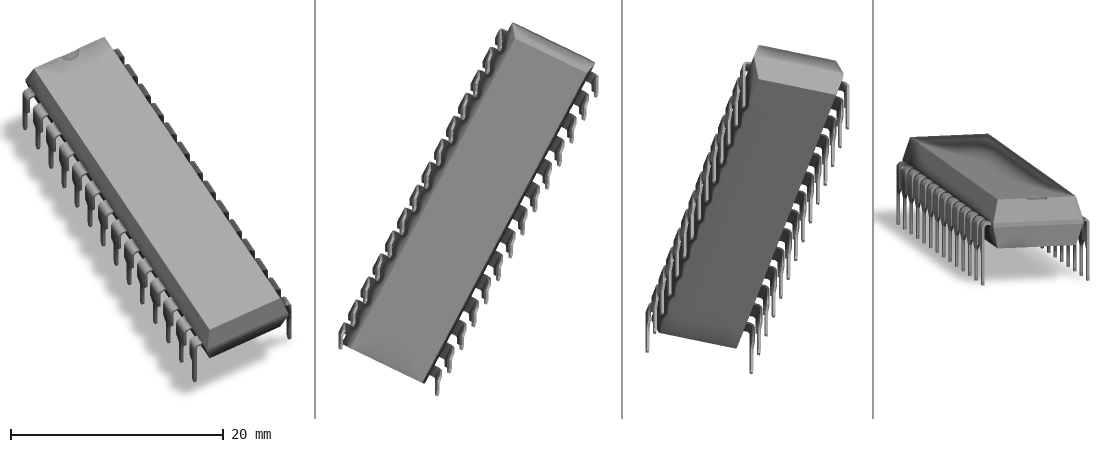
import cadquery as cq
import math

body_length = 35.4
body_width = 8.7
lead_span = 10.4
total_height = 8.2

half_height = 2.12
band_height = 0.42
draft_angle = 15.0
body_top = total_height
band_top = body_top - half_height
band_bottom = band_top - band_height
body_bottom = band_bottom - half_height

notch_radius = 0.95
notch_center_inset = 0.53
notch_depth = 0.18

leads_per_side = 14
lead_row_length = 33.03
lead_pitch = lead_row_length / (leads_per_side - 1)
lead_thickness = 0.25
bend_radius = 0.53
shoulder_width = 1.52
pin_width = 0.5
shoulder_drop = 0.53
tip_width = 0.3
tip_height = 0.4
embed_depth = 0.7
lead_top = (band_top + band_bottom + lead_thickness) / 2
lead_outer = lead_span / 2
lead_inner_end = body_width / 2 - embed_depth


def make_body():
    band = (
        cq.Workplane("XY", origin=(0, 0, band_bottom))
        .rect(body_length, body_width)
        .extrude(band_height)
    )
    upper = band.faces(">Z").workplane().rect(body_length, body_width).extrude(
        half_height, combine=False, taper=draft_angle
    )
    lower = band.faces("<Z").workplane().rect(body_length, body_width).extrude(
        half_height, combine=False, taper=draft_angle
    )
    return band.union(upper).union(lower)


def make_notch():
    center_x = -body_length / 2 + notch_center_inset
    return (
        cq.Workplane("XY", origin=(center_x, 0, body_top - notch_depth))
        .circle(notch_radius)
        .extrude(notch_depth)
    )


def bent_strip():
    """Lead cross-section in the YZ plane, on the -Y side, extruded over one shoulder width."""
    inner_radius = bend_radius - lead_thickness
    bend_y = -lead_outer + bend_radius
    bend_z = lead_top - bend_radius
    diagonal = math.sqrt(0.5)
    return (
        cq.Workplane("YZ", origin=(-shoulder_width / 2, 0, 0))
        .moveTo(-lead_inner_end, lead_top)
        .lineTo(bend_y, lead_top)
        .threePointArc(
            (bend_y - bend_radius * diagonal, bend_z + bend_radius * diagonal),
            (-lead_outer, bend_z),
        )
        .lineTo(-lead_outer, 0)
        .lineTo(-lead_outer + lead_thickness, 0)
        .lineTo(-lead_outer + lead_thickness, bend_z)
        .threePointArc(
            (bend_y - inner_radius * diagonal, bend_z + inner_radius * diagonal),
            (bend_y, lead_top - lead_thickness),
        )
        .lineTo(-lead_inner_end, lead_top - lead_thickness)
        .close()
        .extrude(shoulder_width)
    )


def lead_face(left_shoulder, right_shoulder):
    """Front outline of a lead; each argument is the shoulder reach from the pin centre."""
    shoulder_z = body_bottom
    pin_top = shoulder_z - shoulder_drop
    pin_half = pin_width / 2
    tip_half = tip_width / 2
    return (
        cq.Workplane("XZ")
        .moveTo(-left_shoulder, lead_top)
        .lineTo(-left_shoulder, shoulder_z)
        .lineTo(-pin_half, pin_top)
        .lineTo(-pin_half, tip_height)
        .lineTo(-tip_half, 0)
        .lineTo(tip_half, 0)
        .lineTo(pin_half, tip_height)
        .lineTo(pin_half, pin_top)
        .lineTo(right_shoulder, shoulder_z)
        .lineTo(right_shoulder, lead_top)
        .close()
        .extrude(lead_outer)
    )


def make_lead(index):
    """Lead on the -Y side; the two end leads have no shoulder on their outer side."""
    full = shoulder_width / 2
    flush = pin_width / 2
    left = flush if index == 0 else full
    right = flush if index == leads_per_side - 1 else full
    x = index * lead_pitch - lead_row_length / 2
    return bent_strip().intersect(lead_face(left, right)).translate((x, 0, 0))


result = make_body().cut(make_notch())
for lead_index in range(leads_per_side):
    lead = make_lead(lead_index)
    result = result.union(lead).union(lead.mirror("XZ"))